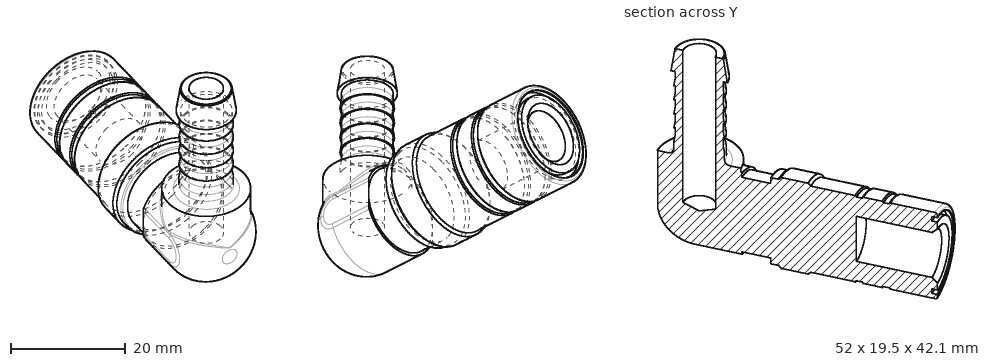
import math

import cadquery as cq


sleeve_radius = 9.25
collar_radius = 9.75
collar_start = 23.5
collar_end = 29.5
collar_chamfer = collar_radius - sleeve_radius
sleeve_length = 31.0
sleeve_front_fillet = 0.5
sleeve_rear_fillet = 0.25

groove_starts = (8.75, 13.75)
groove_depth = 0.25
groove_width = 1.5

socket_radius = 4.75
socket_chamfer = 1.0
socket_depth = 15.0
recess_radius = 8.15
recess_chamfer = 0.1
recess_depth = 1.0
socket_lip_radius = 7.3

overall_length = 52.0
neck_radius = 8.0
elbow_start = 36.25
elbow_radius = 8.5
elbow_end_fillet = 7.0
flat_offset = 8.0
flat_edge_fillet = 2.0
riser_radius = 7.75
riser_x = 44.23
riser_top = 9.9
joint_fillet = 1.0
block_start = elbow_start - elbow_radius

tail_root_fillet = 1.0
tail_height = 22.5
tail_top = riser_top + tail_height
stem_radius = 4.5
rib_radius = 4.75
rib_length = 1.5
rib_count = 5
head_height = 5.0
head_radius = 5.25
head_rim_height = 0.2
head_top_radius = 4.55
head_top_chamfer = 0.2
bore_radius = 3.0
bore_bottom = 0.0
drill_tip_slope = 20.0
drill_tip_height = bore_radius * math.tan(math.radians(drill_tip_slope))


def turned_about_x(profile):
    """Revolve a profile of (x, radius) points about the X axis."""
    return cq.Workplane("XY").polyline(profile).close().revolve(360, (0, 0, 0), (1, 0, 0))


def make_sleeve():
    blank = cq.Workplane("YZ").circle(sleeve_radius).extrude(sleeve_length)
    blank = blank.faces("<X").edges().fillet(sleeve_front_fillet)
    blank = blank.faces(">X").edges().fillet(sleeve_rear_fillet)
    collar = (
        cq.Workplane("YZ", origin=(collar_start, 0, 0))
        .circle(collar_radius)
        .extrude(collar_end - collar_start)
        .edges()
        .chamfer(collar_chamfer)
    )
    sleeve = blank.union(collar)
    floor_radius = sleeve_radius - groove_depth
    for start in groove_starts:
        end = start + groove_width
        groove = turned_about_x([
            (start, sleeve_radius),
            (start + groove_depth, floor_radius),
            (end - groove_depth, floor_radius),
            (end, sleeve_radius),
            (end, collar_radius),
            (start, collar_radius),
        ])
        sleeve = sleeve.cut(groove)
    return sleeve


def make_socket_cut():
    bore = turned_about_x([
        (0, 0),
        (0, socket_radius + socket_chamfer),
        (socket_chamfer, socket_radius),
        (socket_depth, socket_radius),
        (socket_depth, 0),
    ])
    recess = turned_about_x([
        (0, socket_lip_radius),
        (0, recess_radius + recess_chamfer),
        (recess_chamfer, recess_radius),
        (recess_depth, recess_radius),
        (recess_depth, socket_lip_radius),
    ])
    return bore.union(recess)


def make_elbow_block():
    """Overlong horizontal block with a rounded far end and two side flats."""
    block = (
        cq.Workplane("YZ", origin=(block_start, 0, 0))
        .circle(elbow_radius)
        .extrude(overall_length - block_start)
        .faces(">X")
        .edges()
        .fillet(elbow_end_fillet)
    )
    slab = cq.Workplane("XY").box(4 * overall_length, 2 * flat_offset, 4 * elbow_radius)
    block = block.intersect(slab)
    return block.faces("<Y or >Y").edges("not <X").fillet(flat_edge_fillet)


def make_elbow():
    """Elbow block joined to the upright riser by a fillet and cut square at its front face."""
    riser = cq.Workplane("XY", origin=(riser_x, 0, 0)).circle(riser_radius).extrude(riser_top)
    plain_elbow = make_elbow_block().union(riser)

    seam_zone = cq.selectors.BoxSelector(
        (block_start, -riser_radius, 0),
        (riser_x, riser_radius, elbow_radius),
    )
    elbow = plain_elbow.edges(seam_zone).edges("%BSPLINE").fillet(joint_fillet)
    keep_length = overall_length - elbow_start
    keep = cq.Workplane("YZ", origin=(elbow_start, 0, 0)).rect(tail_height, tail_height).extrude(keep_length)
    return elbow.intersect(keep)


def make_neck():
    return (
        cq.Workplane("YZ", origin=(sleeve_length, 0, 0))
        .circle(neck_radius)
        .extrude(elbow_start - sleeve_length)
    )


def make_hose_tail():
    """Ribbed tail with a tapered head, revolved about the riser axis."""
    head_bottom = tail_top - head_height
    profile = (
        cq.Workplane("XZ", origin=(riser_x, 0, 0))
        .moveTo(0, tail_top)
        .lineTo(head_top_radius - head_top_chamfer, tail_top)
        .lineTo(head_top_radius, tail_top - head_top_chamfer)
        .lineTo(head_radius, head_bottom + head_rim_height)
        .lineTo(head_radius, head_bottom)
    )
    for rib in range(rib_count):
        rib_top = head_bottom - (2 * rib + 1) * rib_length
        profile = (
            profile.lineTo(stem_radius, rib_top + rib_length)
            .lineTo(stem_radius, rib_top)
            .lineTo(rib_radius, rib_top - rib_length)
        )
    profile = (
        profile.lineTo(rib_radius, riser_top + tail_root_fillet)
        .radiusArc((rib_radius + tail_root_fillet, riser_top), -tail_root_fillet)
        .lineTo(0, riser_top)
        .close()
    )
    return profile.revolve(360, (0, 0, 0), (0, 1, 0))


def make_tail_bore():
    return (
        cq.Workplane("XZ", origin=(riser_x, 0, 0))
        .polyline([
            (0, tail_top),
            (bore_radius, tail_top),
            (bore_radius, bore_bottom),
            (0, bore_bottom - drill_tip_height),
        ])
        .close()
        .revolve(360, (0, 0, 0), (0, 1, 0))
    )


result = make_sleeve().union(make_neck()).union(make_elbow()).union(make_hose_tail())
result = result.cut(make_socket_cut()).cut(make_tail_bore())